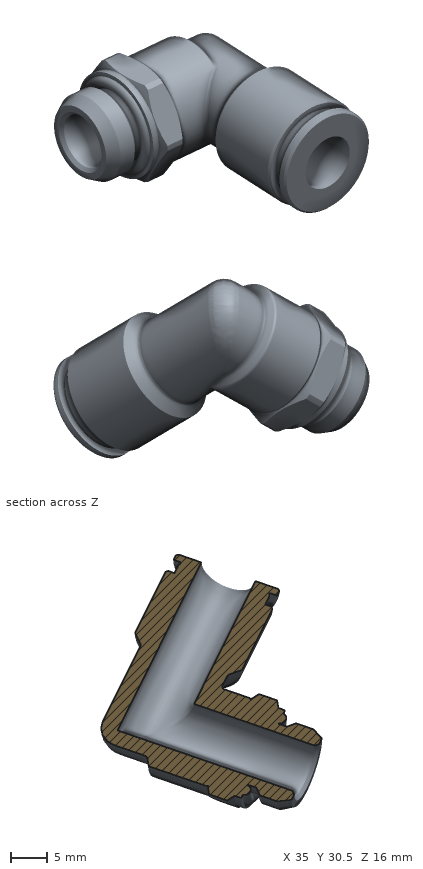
import cadquery as cq
import math


pipe_radius = 6.5
corner_round = 3.0
corner_round_reach = 6.45
socket_blend = 0.5
shoulder_blend = 0.45
bore_radius = 4.0

chamfer_angle = math.radians(30)

socket_radius = 8.0
arm_overlap_start = 8.0
arm_end = 10.22
socket_start = arm_end + socket_radius - pipe_radius
socket_end = 23.0
collet_radius = 6.8
collet_groove_radius = 6.65
collet_chamfer_start = 24.5
collet_chamfer_end = 24.7
release_ring_start = 24.9
release_ring_end = 26.05
release_ring_radius = 7.75
rim_chamfer = 0.3

sleeve_radius = 7.9
shoulder_start = 1.36
shoulder_end = shoulder_start + (sleeve_radius - pipe_radius) * math.tan(chamfer_angle)
sleeve_end = 10.7

swivel_gap_radius = 7.7
hex_start = 11.0
hex_end = 15.0
hex_sides = 6
hex_across_flats = 16.0
hex_corner_radius = 9.0
hex_face_radius = 7.9
hex_chamfer = (hex_corner_radius - hex_face_radius) * math.tan(chamfer_angle)

collar_end = 16.0
seal_section_radius = 0.9
neck_radius = 5.5
seal_ring_radius = neck_radius + seal_section_radius
seal_center = 15.85
neck_end = 17.25
thread_radius = 6.5
thread_start = 18.17
tip_chamfer_start = 20.75
stem_end = 22.5
tip_radius = thread_radius - (stem_end - tip_chamfer_start) * math.tan(chamfer_angle)
mouth_chamfer = 0.5


def turned_on_x(points):
    """Solid of revolution about X from (station along +X, radius) points."""
    outline = [(points[0][0], 0)] + points + [(points[-1][0], 0)]
    return cq.Workplane("XY").polyline(outline).close().revolve(360, (0, 0), (1, 0))


def turned_on_y(points):
    """Solid of revolution about Y from (distance towards -Y, radius) points."""
    outline = [(0, -points[0][0])]
    outline += [(radius, -station) for station, radius in points]
    outline += [(0, -points[-1][0])]
    return cq.Workplane("XY").polyline(outline).close().revolve(360, (0, 0), (0, 1))


def mitred_pipe(radius, stem_length, arm_length):
    """Round bar from the stem, through a square mitre at the origin, into the arm."""
    path = cq.Workplane("XY").moveTo(0, -stem_length).lineTo(0, 0).lineTo(arm_length, 0)
    start = cq.Workplane("XZ", origin=(0, -stem_length, 0))
    return start.circle(radius).sweep(path, transition="right")


def make_elbow():
    """Mitred pipe and stem sleeve, with the joints blended and the outer corner rounded."""
    pipe = mitred_pipe(pipe_radius, sleeve_end, arm_end)
    sleeve = turned_on_y([
        (shoulder_start, pipe_radius),
        (shoulder_end, sleeve_radius),
        (sleeve_end, sleeve_radius),
    ])
    joint_zone = cq.selectors.BoxSelector(
        (-socket_radius, -socket_radius, -socket_radius),
        (socket_radius, -shoulder_start / 2, socket_radius),
        boundingbox=True,
    )
    elbow = pipe.union(sleeve).edges(joint_zone).fillet(shoulder_blend)
    return elbow.cut(make_corner_trim(pipe))


def make_corner_trim(pipe):
    """Material taken off to round the outer mitre edge of the pipe.

    The mitre edge runs out tangentially at the top and bottom of the pipe, so the
    rounding stops just short of those points.
    """
    slab_side = 4 * max(arm_end, sleeve_end)
    slab = cq.Workplane("XY").box(slab_side, slab_side, 2 * corner_round_reach)
    sharp = pipe.intersect(slab)
    mitre_edge = cq.selectors.NearestToPointSelector((-pipe_radius, pipe_radius, 0))
    return sharp.cut(sharp.edges(mitre_edge).fillet(corner_round))


def make_tube_arm():
    """Stepped socket with its conical shoulder, collet and release ring."""
    arm = turned_on_x([
        (arm_overlap_start, pipe_radius),
        (arm_end, pipe_radius),
        (socket_start, socket_radius),
        (socket_end - rim_chamfer, socket_radius),
        (socket_end, socket_radius - rim_chamfer),
        (socket_end, collet_radius),
        (collet_chamfer_start, collet_radius),
        (collet_chamfer_end, collet_groove_radius),
        (release_ring_start, collet_groove_radius),
        (release_ring_start, release_ring_radius),
        (release_ring_end - rim_chamfer, release_ring_radius),
        (release_ring_end, release_ring_radius - rim_chamfer),
    ])
    cone_foot = cq.selectors.NearestToPointSelector((arm_end, 0, pipe_radius))
    return arm.edges(cone_foot).fillet(socket_blend)


def make_hexagon():
    """Swivel hexagon, corners turned down and both ends chamfered."""
    across_corners = hex_across_flats / math.cos(math.radians(180 / hex_sides))
    prism = (
        cq.Workplane("XZ", origin=(0, -hex_start, 0))
        .polygon(hex_sides, across_corners)
        .extrude(hex_end - hex_start)
    )
    envelope = turned_on_y([
        (hex_start, hex_face_radius),
        (hex_start + hex_chamfer, hex_corner_radius),
        (hex_end - hex_chamfer, hex_corner_radius),
        (hex_end, hex_face_radius),
    ])
    return prism.intersect(envelope)


def make_stem():
    """Tapered swivel gap, collar, neck and plain thread cylinder with its chamfered tip."""
    return turned_on_y([
        (sleeve_end, sleeve_radius),
        (hex_start, swivel_gap_radius),
        (hex_end, swivel_gap_radius),
        (hex_end, sleeve_radius),
        (collar_end, sleeve_radius),
        (collar_end, neck_radius),
        (neck_end, neck_radius),
        (thread_start, thread_radius),
        (tip_chamfer_start, thread_radius),
        (stem_end, tip_radius),
    ])


def make_seal_ring():
    """O-ring bulging out of the collar face around the neck."""
    return (
        cq.Workplane("XY")
        .center(seal_ring_radius, -seal_center)
        .circle(seal_section_radius)
        .revolve(360, (-seal_ring_radius, 0), (-seal_ring_radius, 1))
    )


def make_bore():
    """Through passage from the stem tip to the release ring, with a chamfered mouth."""
    passage = mitred_pipe(bore_radius, stem_end, release_ring_end)
    mouth = turned_on_y([
        (stem_end - mouth_chamfer, bore_radius),
        (stem_end, bore_radius + mouth_chamfer),
    ])
    return passage.union(mouth)


result = (
    make_elbow()
    .union(make_tube_arm())
    .union(make_stem())
    .union(make_hexagon())
    .union(make_seal_ring())
    .cut(make_bore())
)